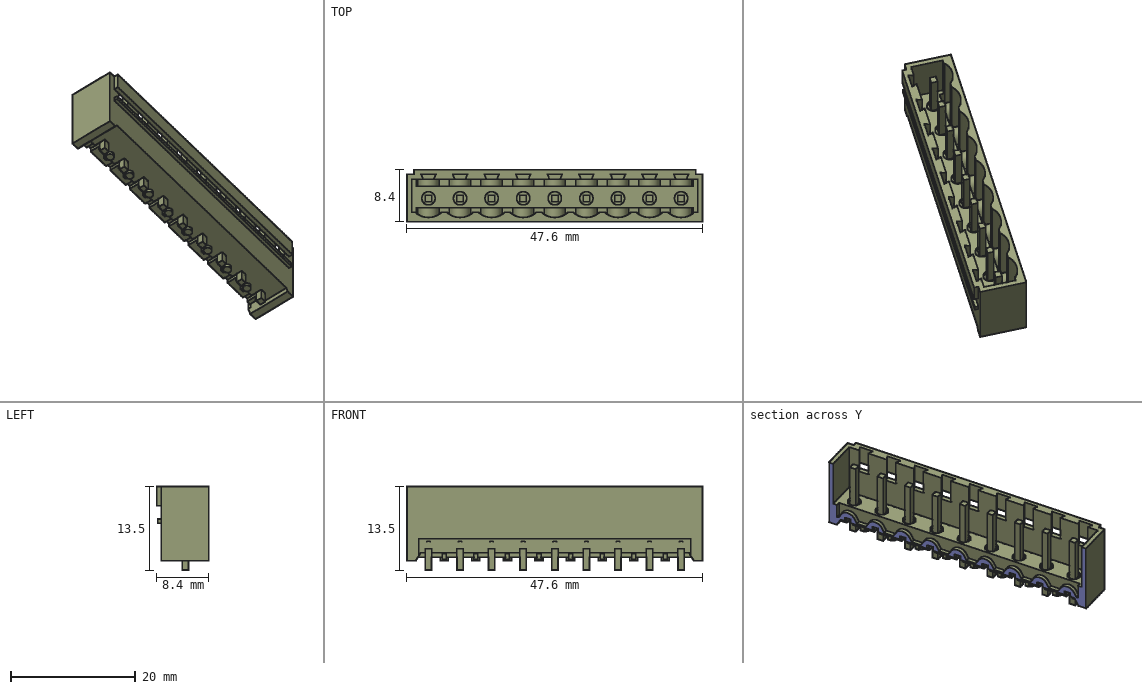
import cadquery as cq
import math


length = 47.6
depth = 7.7
height = 12.0
end_wall = 0.8
front_wall = 1.55
back_wall = 0.85

pole_count = 9
pin_row_length = 40.65
pitch = pin_row_length / (pole_count - 1)
pin_y = 3.8
pin_size = 1.05
pin_top_z = 11.0
pin_bottom_z = -1.5
pin_slot_top_z = 2.0

floor_z = 4.05
scallop_radius = 3.1
pin_recess_diameter = 2.15
pin_recess_depth = 0.5
trough_length = 44.55
trough_bottom_z = 1.65
floor_ridge_front = 2.3
floor_ridge_back = 5.75
hump_arc_half_width = 1.3
hump_flank_width = 0.45
hump_flank_angle = math.radians(60)

lip_length = 45.4
lip_depth = 0.7
lip_height = 3.15
ledge_depth = 0.55
ledge_top_z = 6.75
ledge_height = 0.7
groove_inner_width = 1.7
groove_outer_width = 2.4
groove_depth = 4.2

front_recess_length = 43.75
front_recess_depth = 0.55
front_recess_top_z = 3.55
foot_width = 1.45
foot_slope = 0.6
front_ceiling_z = 1.3
base_plate_z = 0.55
base_plate_front = floor_ridge_front
peg_diameter = 1.35
peg_y = base_plate_front + peg_diameter / 2
rib_width = 0.65
rib_front = 1.9
rib_bottom_z = 0.3
pad_width = 1.05
pad_drop = 0.15

pole_xs = [(i - (pole_count - 1) / 2) * pitch for i in range(pole_count)]
gap_xs = [(left + right) / 2 for left, right in zip(pole_xs, pole_xs[1:])]
cavity_back = depth - back_wall


def block(width, y_range, z_range, x=0.0):
    """Box centred on x that spans the given Y and Z ranges."""
    y0, y1 = y_range
    z0, z1 = z_range
    solid = cq.Workplane("XY").box(width, y1 - y0, z1 - z0, centered=(True, False, False))
    return solid.translate((x, y0, z0))


def post(diameter, x, y, z_range):
    """Upright cylinder spanning the given Z range."""
    z0, z1 = z_range
    return cq.Workplane("XY", origin=(x, y, z0)).circle(diameter / 2).extrude(z1 - z0)


def housing():
    """Solid body with the overhanging lip and the ledge along its back."""
    body = block(length, (0, depth), (0, height))
    lip = block(lip_length, (depth, depth + lip_depth), (height - lip_height, height))
    ledge = block(lip_length, (depth, depth + ledge_depth), (ledge_top_z - ledge_height, ledge_top_z))
    return body.union(lip).union(ledge)


def scallops(bottom_z, top_z):
    """Round bays, one per pole, that hollow the front wall of the cavity."""
    bay_zone = block(trough_length, (0, pin_y), (bottom_z, top_z))
    rounds = post(2 * scallop_radius, pole_xs[0], pin_y, (bottom_z, top_z))
    for x in pole_xs[1:]:
        rounds = rounds.union(post(2 * scallop_radius, x, pin_y, (bottom_z, top_z)))
    return rounds.intersect(bay_zone)


def cavity():
    """Mating cavity above the floor, with its scalloped front wall."""
    room = block(length - 2 * end_wall, (front_wall, cavity_back), (floor_z, height))
    return room.union(scallops(floor_z, height))


def hump(x):
    """Rounded hump on the trough bottom: two steep flanks joined by a tangent arc."""
    half_base = hump_arc_half_width + hump_flank_width
    shoulder_z = trough_bottom_z + hump_flank_width * math.tan(hump_flank_angle)
    crown_z = shoulder_z + hump_arc_half_width * math.tan(hump_flank_angle / 2)
    return (
        cq.Workplane("XZ", origin=(x, 0, 0))
        .moveTo(-half_base, trough_bottom_z)
        .lineTo(-hump_arc_half_width, shoulder_z)
        .threePointArc((0, crown_z), (hump_arc_half_width, shoulder_z))
        .lineTo(half_base, trough_bottom_z)
        .close()
        .extrude(-depth)
    )


def troughs():
    """Deep troughs in front of and behind the floor ridge, less the humps they leave standing."""
    lower = block(trough_length, (front_wall, cavity_back), (trough_bottom_z, floor_z))
    lower = lower.union(scallops(trough_bottom_z, floor_z))
    lower = lower.cut(block(length, (floor_ridge_front, floor_ridge_back), (0, height)))
    for x in pole_xs:
        lower = lower.cut(hump(x))
    return lower


def coding_groove(x):
    """Dovetail groove through the back wall, wider at the outside and closed behind by the lip."""
    return (
        cq.Workplane("XY", origin=(x, 0, height - groove_depth))
        .polyline(
            [
                (-groove_inner_width / 2, cavity_back),
                (groove_inner_width / 2, cavity_back),
                (groove_outer_width / 2, depth),
                (-groove_outer_width / 2, depth),
            ]
        )
        .close()
        .extrude(groove_depth)
    )


def underside_channel(y_range, ceiling_z):
    """Channel between the sloping end feet, up to the given ceiling."""
    y0, y1 = y_range
    half_bottom = length / 2 - foot_width
    half_top = half_bottom - foot_slope * ceiling_z
    return (
        cq.Workplane("XZ", origin=(0, y0, 0))
        .polyline([(-half_bottom, 0), (half_bottom, 0), (half_top, ceiling_z), (-half_top, ceiling_z)])
        .close()
        .extrude(y0 - y1)
    )


def standoff(x):
    """Peg under the base plate with the rib and pad in front of it."""
    peg = post(peg_diameter, x, peg_y, (0, base_plate_z))
    rib = block(rib_width, (rib_front, base_plate_front), (rib_bottom_z, front_ceiling_z), x)
    pad = block(
        pad_width,
        (front_recess_depth, base_plate_front),
        (front_ceiling_z - pad_drop, front_ceiling_z),
        x,
    )
    return peg.union(rib).union(pad)


result = housing().cut(cavity()).cut(troughs())

result = result.cut(block(front_recess_length, (0, front_recess_depth), (0, front_recess_top_z)))
result = result.cut(underside_channel((0, base_plate_front), front_ceiling_z))
result = result.cut(underside_channel((base_plate_front, depth), base_plate_z))
for x in gap_xs:
    result = result.union(standoff(x))

for x in pole_xs:
    result = result.cut(coding_groove(x))
    result = result.cut(post(pin_recess_diameter, x, pin_y, (floor_z - pin_recess_depth, floor_z)))
    result = result.cut(block(pin_size, (0, pin_y), (0, pin_slot_top_z), x))
    pin_faces = (pin_y - pin_size / 2, pin_y + pin_size / 2)
    result = result.union(block(pin_size, pin_faces, (pin_bottom_z, pin_top_z), x))